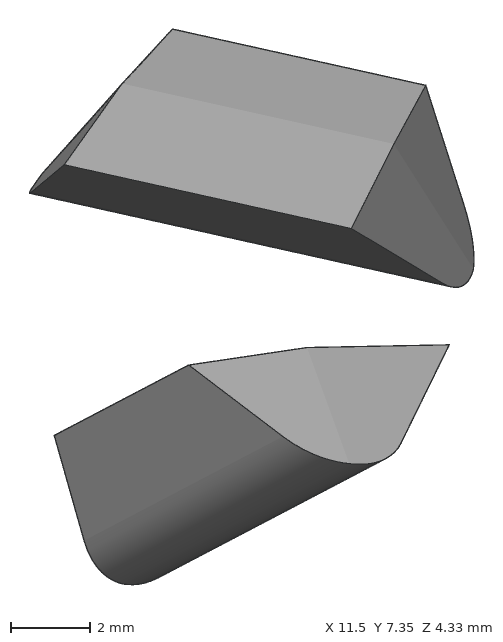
import cadquery as cq
import math

front_y, front_z = -4.03, 4.33
back_y, back_z = 3.32, 2.73
ridge_z = 3.66
bottom_radius = 2.0

overall_length = 11.52
end_lean = math.tan(math.radians(30))
front_flare = math.tan(math.radians(8.3))
back_flare = math.tan(math.radians(13.3))
end_bulge = bottom_radius * (math.hypot(end_lean, front_flare) - end_lean)
keel_half_length = overall_length / 2 - end_bulge


def tangent_point(y, z):
    """Point where a wall from (y, z) meets the rounded bottom tangentially."""
    rise = z - bottom_radius
    distance = math.hypot(y, rise)
    side = math.copysign(1, y)
    angle = math.atan2(rise, y) - side * math.acos(bottom_radius / distance)
    return bottom_radius * math.cos(angle), bottom_radius * (1 + math.sin(angle))


def end_outline(z):
    """Corners of the six-sided plan outline at height z."""
    middle = keel_half_length - end_lean * z
    front = middle - front_flare * front_y
    back = middle - back_flare * back_y
    return [(front, front_y), (middle, 0), (back, back_y),
            (-back, back_y), (-middle, 0), (-front, front_y)]


bar = (
    cq.Workplane("YZ")
    .moveTo(front_y, front_z)
    .lineTo(*tangent_point(front_y, front_z))
    .threePointArc((0, 0), tangent_point(back_y, back_z))
    .lineTo(back_y, back_z)
    .lineTo(0, ridge_z)
    .close()
    .extrude(overall_length, both=True)
)

end_trim = (
    cq.Workplane("XY")
    .polyline(end_outline(0)).close()
    .workplane(offset=front_z)
    .polyline(end_outline(front_z)).close()
    .loft(ruled=True)
)

result = bar.intersect(end_trim)